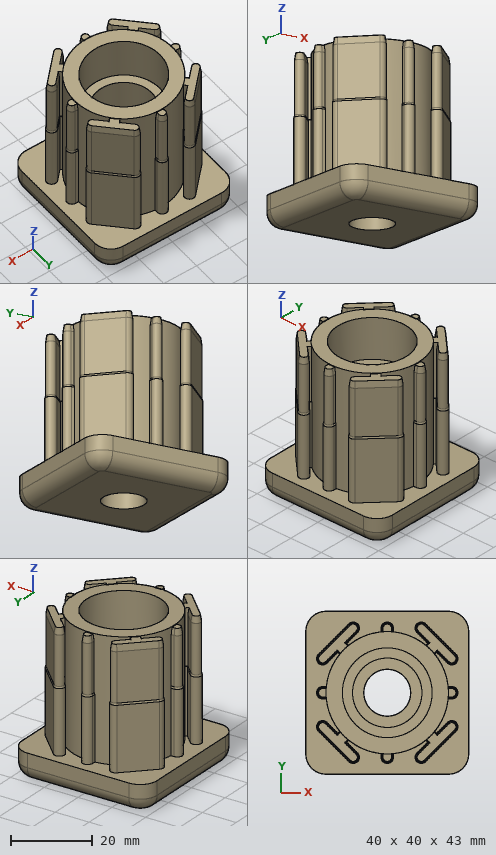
import cadquery as cq
import math

base_side = 40.0
base_height = 8.0
base_corner_radius = 5.0
base_edge_radius = 4.0

total_height = 43.0
tube_radius = 15.0
bore_radius = 11.0
bore_depth = 12.05
middle_bore_radius = 8.5
through_hole_radius = 5.7

rib_thickness = 3.0
rib_reach = 17.35
rib_step_bottom = 26.4
rib_step_top = 26.9
rib_tip_start = 40.95
rib_top = 42.83
upper_inset = 0.17
tip_inset = 0.47

rib_radius = rib_thickness / 2
rib_center = rib_reach - rib_radius

pad_half_span = 5.3
lower_neck_width = 3.0
upper_neck_width = 2.6
pad_center = math.sqrt(2) * rib_center - pad_half_span

rib_root = (tube_radius + bore_radius) / 2

ribs_per_kind = 4
rib_spacing_angle = 360 / ribs_per_kind
corner_angle = rib_spacing_angle / 2


def level(height):
    """Horizontal work plane at the given height."""
    return cq.Workplane("XY").workplane(offset=height)


def cylinder(radius, bottom, top):
    """Upright cylinder on the Z axis."""
    return level(bottom).circle(radius).extrude(top - bottom)


def base():
    """Rounded square flange, centred on the Z axis."""
    block = level(0).rect(base_side, base_side).extrude(base_height)
    block = block.edges("|Z").fillet(base_corner_radius)
    return block.faces("<Z").edges().fillet(base_edge_radius)


def web_outline(height, outer_x, width):
    """Rectangle from inside the tube wall out to the middle of a rib."""
    return level(height).center((rib_root + outer_x) / 2, 0).rect(outer_x - rib_root, width)


def side_round(height, inset):
    """Circle of a side rib, shrunk by the inset."""
    return level(height).center(rib_center, 0).circle(rib_radius - inset)


def side_web(height, inset):
    """Flat-sided link between a side rib and the tube, narrowed by the inset on both flanks."""
    return web_outline(height, rib_center, rib_thickness - 2 * inset)


def pad_slot(height, inset):
    """Round-ended outline of a corner pad, long in Y, shrunk evenly by the inset."""
    radius = rib_radius - inset
    length = 2 * (pad_half_span + radius)
    return level(height).center(pad_center, 0).slot2D(length, 2 * radius, angle=90)


def stepped_column(outline):
    """Column with a step and a tapered tip, from a function outline(height, inset)."""
    stations = [
        (base_height, 0),
        (rib_step_bottom, 0),
        (rib_step_top, upper_inset),
        (rib_tip_start, upper_inset),
        (rib_top, tip_inset),
    ]
    wires = [outline(height, inset).wires().val() for height, inset in stations]
    return cq.Workplane(cq.Solid.makeLoft(wires, True))


def side_rib():
    """Narrow rib on the +X side: a round column with flat flanks running into the tube."""
    return stepped_column(side_round).union(stepped_column(side_web))


def neck(width, top):
    """Straight wall joining the tube to a corner pad."""
    return web_outline(base_height, pad_center, width).extrude(top - base_height)


def corner_rib():
    """Wide pad facing +X, with a neck that narrows at the step."""
    pad = stepped_column(pad_slot)
    return pad.union(neck(lower_neck_width, rib_step_top)).union(neck(upper_neck_width, rib_top))


def turned(solid, angle):
    """Copy of a solid turned about the Z axis."""
    return solid.rotate((0, 0, 0), (0, 0, 1), angle)


body = base().union(cylinder(tube_radius, base_height, total_height))
for index in range(ribs_per_kind):
    side_angle = index * rib_spacing_angle
    body = body.union(turned(side_rib(), side_angle))
    body = body.union(turned(corner_rib(), side_angle + corner_angle))

body = body.cut(cylinder(bore_radius, total_height - bore_depth, total_height))
body = body.cut(cylinder(middle_bore_radius, base_height, total_height))
result = body.cut(cylinder(through_hole_radius, 0, total_height))